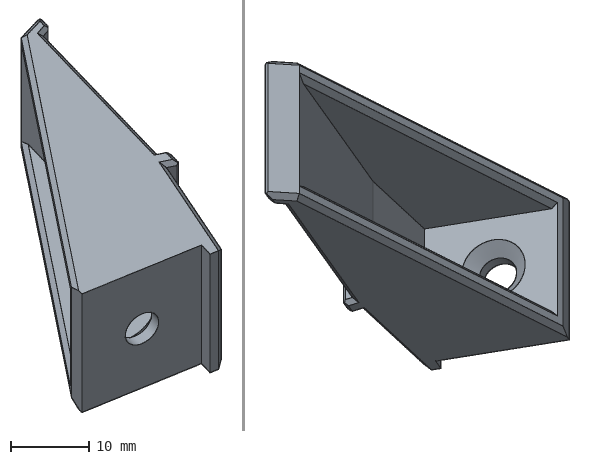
import cadquery as cq
import math

length = 51.2
depth = 24.55
height = 20.0

end_face_x = 49.1
foot_x = 46.6
slope_start = (1.8, 20.5)
back_y = 23.05
lip_outer_x = -0.225
lip_inner_x = 2.2
lip_root_x = 3.0
tooth_left_x = 30.6
tooth_width = 2.55
tooth_lean = 0.27
tooth_right_y = 22.75
flange_y = 18.0
flange_top_y = 20.05

rim_height = 0.7
rim_wide = 0.75
rim_front = 0.7
rim_narrow = 0.5
tip_chamfer = 0.5
flange_chamfer = 0.75

wall = 2.55
pocket_end_x = 45.6
pocket_bend_x = 31.35
pocket_chamfer = 0.75
hole_y = 9.05
hole_diameter = 5.0
sink_diameter = 8.55

tooth_right_x = tooth_left_x + tooth_width
back_slope = (flange_top_y - tooth_right_y) / (length - tooth_right_x)
front_slope = slope_start[1] / (foot_x - slope_start[0])

corners = [
    ((foot_x, 0), 0),
    ((end_face_x, 0), 0),
    ((end_face_x, flange_y), 0),
    ((length, flange_y), 0),
    ((length, flange_top_y), rim_wide),
    ((tooth_right_x, tooth_right_y), rim_narrow),
    ((tooth_right_x + tooth_lean * (depth - tooth_right_y), depth), rim_wide),
    ((tooth_left_x + tooth_lean * (depth - back_y), depth), rim_narrow),
    ((tooth_left_x, back_y), rim_wide),
    ((lip_root_x, back_y), rim_narrow),
    ((lip_inner_x, depth), rim_wide),
    ((lip_outer_x, depth), rim_wide),
    (slope_start, rim_front),
]
outline = [point for point, _ in corners]
rim_widths = [width for _, width in corners]


def inset(points, widths):
    """Move each edge of a counterclockwise polygon inward by its own width."""
    edges = []
    for i, (x, y) in enumerate(points):
        next_x, next_y = points[(i + 1) % len(points)]
        run = math.hypot(next_x - x, next_y - y)
        ux, uy = (next_x - x) / run, (next_y - y) / run
        edges.append((x - uy * widths[i], y + ux * widths[i], ux, uy))
    moved = []
    for i, (bx, by, bu, bv) in enumerate(edges):
        ax, ay, au, av = edges[i - 1]
        step = ((bx - ax) * bv - (by - ay) * bu) / (au * bv - av * bu)
        moved.append((ax + au * step, ay + av * step))
    return moved


def make_body():
    """Wedge prism with a chamfered rim around both flat sides."""
    straight_half = height / 2 - rim_height
    core = cq.Workplane("XY").polyline(outline).close().extrude(straight_half, both=True)
    rim = (
        cq.Workplane("XY", origin=(0, 0, straight_half)).polyline(outline).close()
        .workplane(offset=rim_height).polyline(inset(outline, rim_widths)).close()
        .loft(ruled=True)
    )
    return core.union(rim).union(rim.mirror("XY"))


def corner_cutter(index, size):
    """Full-height wedge that chamfers one corner of the outline."""
    x, y = outline[index]
    triangle = [(x, y)]
    for px, py in (outline[index - 1], outline[(index + 1) % len(outline)]):
        run = math.hypot(px - x, py - y)
        triangle.append((x + (px - x) * size / run, y + (py - y) * size / run))
    return cq.Workplane("XY").polyline(triangle).close().extrude(height, both=True)


def front_y(x):
    """Y position of the sloped front at a given x."""
    return front_slope * (foot_x - x)


def make_pocket():
    """Pocket open through the sloped front, flared along its two long sides."""
    back_wall_y = back_y - wall
    end_back_y = back_wall_y + back_slope * (pocket_end_x - pocket_bend_x)
    profile = [
        slope_start,
        (pocket_end_x, front_y(pocket_end_x)),
        (pocket_end_x, end_back_y),
        (pocket_bend_x, back_wall_y),
    ]
    half_width = height / 2 - wall
    pocket = cq.Workplane("XY").polyline(profile).close().extrude(half_width, both=True)

    mouth_y = front_y(pocket_end_x)
    mouth_half = half_width + pocket_chamfer
    section = [
        (mouth_y, -mouth_half),
        (mouth_y, mouth_half),
        (mouth_y + pocket_chamfer, half_width),
        (mouth_y + pocket_chamfer, -half_width),
    ]
    reach = pocket_end_x - slope_start[0]
    far_section = [(y + front_slope * reach, z) for y, z in section]
    flare = (
        cq.Workplane("YZ", origin=(pocket_end_x, 0, 0)).polyline(section).close()
        .workplane(offset=-reach).polyline(far_section).close()
        .loft(ruled=True)
    )
    below_back_wall = cq.Workplane("XY").box(length, back_wall_y, height, centered=(False, False, True))
    return pocket.union(flare.intersect(below_back_wall))


def make_screw_hole():
    """Through hole in the end wall with a 90 degree countersink inside the pocket."""
    hole_radius = hole_diameter / 2
    sink_radius = sink_diameter / 2
    sink_depth = sink_radius - hole_radius
    profile = [
        (pocket_end_x, hole_y),
        (pocket_end_x, hole_y + sink_radius),
        (pocket_end_x + sink_depth, hole_y + hole_radius),
        (length, hole_y + hole_radius),
        (length, hole_y),
    ]
    return (
        cq.Workplane("XY").polyline(profile).close()
        .revolve(360, (0, hole_y, 0), (1, hole_y, 0))
    )


result = make_body()
sharp_tips = [point for point in outline if point[1] == depth]
for tip in sharp_tips:
    result = result.cut(corner_cutter(outline.index(tip), tip_chamfer))
flange_corner = outline.index((length, flange_top_y))
result = result.cut(corner_cutter(flange_corner, flange_chamfer))
result = result.cut(make_pocket()).cut(make_screw_hole())